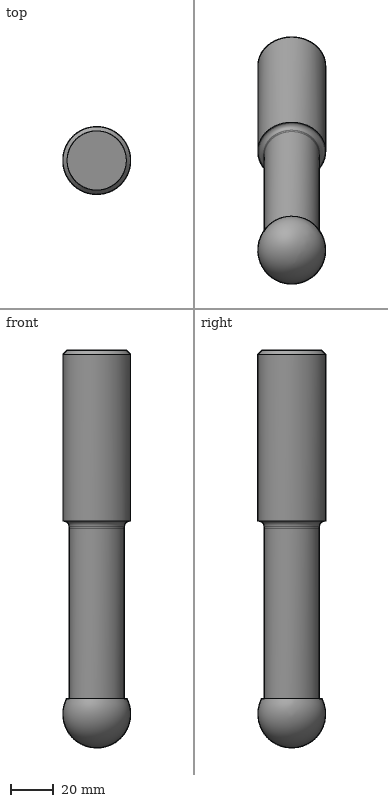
import cadquery as cq
import math

total_length = 187.0
ball_diameter = 32.0
ball_height = 23.2

shank_diameter = ball_diameter
shank_bottom = 106.5
top_chamfer = 2.0
neck_diameter = 26.0
collar_diameter = 26.2
collar_taper_height = 1.1
shoulder_fillet = 2.5

ball_radius = ball_diameter / 2
shank_radius = shank_diameter / 2
neck_radius = neck_diameter / 2
collar_radius = collar_diameter / 2


def make_ball_tip():
    """Ball cut off flat where the neck stands on it."""
    ball = cq.Workplane("XY").sphere(ball_radius).translate((0, 0, ball_radius))
    kept = cq.Workplane("XY").circle(ball_diameter).extrude(ball_height)
    return ball.intersect(kept)


def make_shank():
    """Neck and thick shank turned in one piece, with a concave fillet under the shoulder."""
    fillet_start = shank_bottom - shoulder_fillet
    collar_bottom = fillet_start - collar_taper_height
    shoulder_sag = shoulder_fillet * (1 - math.sqrt(0.5))
    return (
        cq.Workplane("XZ")
        .moveTo(0, ball_height)
        .lineTo(neck_radius, ball_height)
        .lineTo(neck_radius, collar_bottom)
        .lineTo(collar_radius, fillet_start)
        .threePointArc(
            (collar_radius + shoulder_sag, shank_bottom - shoulder_sag),
            (collar_radius + shoulder_fillet, shank_bottom),
        )
        .lineTo(shank_radius, shank_bottom)
        .lineTo(shank_radius, total_length - top_chamfer)
        .lineTo(shank_radius - top_chamfer, total_length)
        .lineTo(0, total_length)
        .close()
        .revolve(360, (0, 0, 0), (0, 1, 0))
    )


ball_tip = make_ball_tip()
shank = make_shank()

result = cq.Compound.makeCompound([ball_tip.val(), shank.val()])